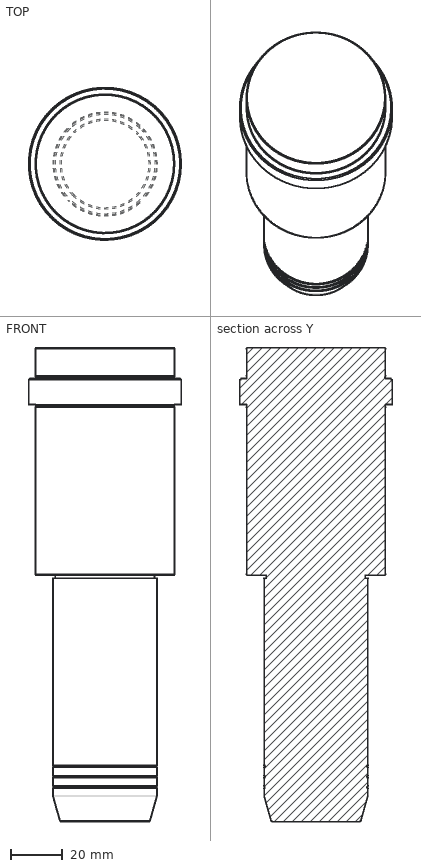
import cadquery as cq
import math

total_height = 183.0
head_height = 11.9
flange_top = total_height - head_height
flange_thickness = 10.0
flange_bottom = flange_top - flange_thickness
body_bottom = 95.2

flange_radius = 29.5
body_radius = 26.9
stem_radius = 20.1

flange_chamfer = 0.5
body_chamfer = 0.4
relief_width = 1.1
body_relief_depth = 0.2
neck_relief_depth = 1.0

taper_height = 10.0
taper_angle = 15.0
tip_chamfer = 0.5

groove_count = 3
groove_pitch = 4.0
groove_width = 1.0
groove_depth = 0.4
lowest_groove_bottom = 13.0


def cylinder(radius, bottom, top):
    """Solid cylinder on the Z axis between two heights."""
    return cq.Workplane("XY").workplane(offset=bottom).circle(radius).extrude(top - bottom)


def vee_groove(radius, depth, bottom, width):
    """Ring of triangular section, to cut a V groove into a shaft of the given radius."""
    section = [(radius, bottom), (radius - depth, bottom + width / 2), (radius, bottom + width)]
    return cq.Workplane("XZ").polyline(section).close().revolve(360, (0, 0), (0, 1))


def square_groove(radius, depth, bottom, width):
    """Ring of rectangular section, to cut a square groove into a shaft of the given radius."""
    outer = cylinder(radius, bottom, bottom + width)
    return outer.cut(cylinder(radius - depth, bottom, bottom + width))


def make_stem():
    tip_radius = stem_radius - taper_height * math.tan(math.radians(taper_angle))
    outline = [
        (0, 0),
        (tip_radius - tip_chamfer, 0),
        (tip_radius, tip_chamfer),
        (stem_radius, taper_height),
        (stem_radius, body_bottom),
        (0, body_bottom),
    ]
    stem = cq.Workplane("XZ").polyline(outline).close().revolve(360, (0, 0), (0, 1))
    neck_bottom = body_bottom - relief_width
    stem = stem.cut(square_groove(stem_radius, neck_relief_depth, neck_bottom, relief_width))
    for index in range(groove_count):
        bottom = lowest_groove_bottom + index * groove_pitch
        stem = stem.cut(vee_groove(stem_radius, groove_depth, bottom, groove_width))
    return stem


def make_body():
    body = cylinder(body_radius, body_bottom, total_height)
    body = body.faces("<Z or >Z").edges().chamfer(body_chamfer)
    for bottom in (flange_top, flange_bottom - relief_width):
        body = body.cut(vee_groove(body_radius, body_relief_depth, bottom, relief_width))
    return body


def make_flange():
    return cylinder(flange_radius, flange_bottom, flange_top).faces(">Z").edges().chamfer(flange_chamfer)


result = make_stem().union(make_body()).union(make_flange())